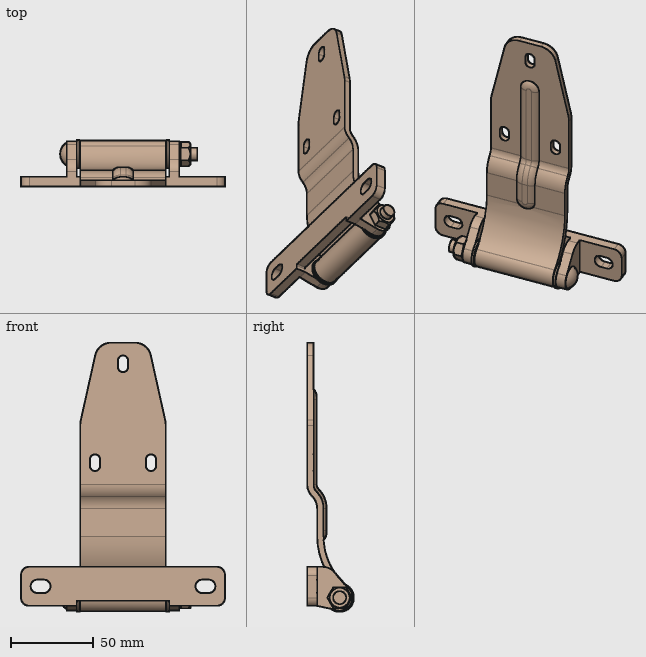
import cadquery as cq
import math


plate_length = 124.0
plate_height = 23.9
plate_thickness = 6.0
plate_bottom = 3.6
plate_top = plate_bottom + plate_height
plate_middle = plate_bottom + plate_height / 2
plate_corner_radius = 5.0
plate_slot_length = 12.0
plate_slot_width = 8.0
plate_slot_spacing = 100.0

axis_y = 19.8
axis_z = 8.7
pin_radius = 4.0
barrel_radius = 8.3
ear_radius = 7.8
washer_radius = 8.7
washer_thickness = 2.0
washer_rim_chamfer = 0.5

strap_width = 52.0
strap_thickness = 4.0
strap_top = 163.5
strap_end_width = 30.4
strap_end_radius = 10.0
taper_bottom = 115.0
taper_blend_radius = 15.0
crank_top = 77.5
crank_depth = plate_thickness
crank_angle = math.radians(45)
tail_radius = 39.2

strap_slot_length = 10.0
strap_slot_width = 6.0
upper_slot_z = 150.6
lower_slot_z = 90.5
lower_slot_spacing = 34.0

rib_height = 2.0
rib_radius = strap_thickness + rib_height
rib_crest = 3.5
rib_top_z = 129.2
rib_bottom_z = 49.7

barrel_end = strap_width / 2
ear_inner = barrel_end + washer_thickness
ear_thickness = 6.2
ear_outer = ear_inner + ear_thickness
ear_corner_y = 13.7
ear_corner_radius = 10.0

notch_top = 6.7
notch_corner_radius = 0.7

head_radius = 7.0
head_height = 4.1
pin_tip = 45.1
nut_gap = 1.0
nut_start = ear_outer + nut_gap
nut_height = 6.0
nut_across_flats = 12.9
nut_face_radius = 6.0

crank_radius = crank_depth / (2 * (1 - math.cos(crank_angle)))
crank_bottom = crank_top - 2 * crank_radius * math.sin(crank_angle)

tail_center_y = crank_depth + strap_thickness + tail_radius
tail_reach = tail_radius + barrel_radius
tail_center_z = axis_z + math.sqrt(tail_reach**2 - (tail_center_y - axis_y) ** 2)
tail_angle = math.atan2(tail_center_z - axis_z, tail_center_y - axis_y)

rib_half_crest = rib_crest / 2
rib_root = strap_thickness / 2
rib_half_root = rib_half_crest + math.sqrt(rib_radius**2 - rib_root**2)
rib_bulge = rib_radius * math.sqrt(0.5)


def rod(radius, start, end):
    """Cylinder on the pin axis between two X positions."""
    return cq.Workplane("YZ", origin=(start, axis_y, axis_z)).circle(radius).extrude(end - start)


def slot_cutter(x, z, length, width, angle, depth):
    """Slot-shaped body that starts at Y = 0 and runs back by depth."""
    return cq.Workplane("XZ", origin=(x, 0, z)).slot2D(length, width, angle).extrude(-depth)


def point_on_arc(center, radius, angle):
    """Point below and in front of an arc center, at an angle from the -Y direction."""
    return (center[0] - radius * math.cos(angle), center[1] - radius * math.sin(angle))


def on_lower_bend(radius, angle):
    """Point on the lower crank bend, at an angle above its lower end."""
    center_y = crank_depth - crank_radius
    return (center_y + radius * math.cos(angle), crank_bottom + radius * math.sin(angle))


def ear_tangent_point(corner, turn):
    """Point where the line from a corner touches the ear's round end."""
    y_step = corner[0] - axis_y
    z_step = corner[1] - axis_z
    direction = math.atan2(z_step, y_step) + turn * math.acos(ear_radius / math.hypot(y_step, z_step))
    return (axis_y + ear_radius * math.cos(direction), axis_z + ear_radius * math.sin(direction))


def make_ear(start):
    """Ear that rises from the front of the plate and rounds off about the pin axis."""
    upper_corner = (ear_corner_y, plate_top)
    lower_corner = (plate_thickness, plate_bottom)
    ear = (
        cq.Workplane("YZ", origin=(start, 0, 0))
        .moveTo(0, plate_bottom)
        .lineTo(*lower_corner)
        .lineTo(*ear_tangent_point(lower_corner, 1))
        .threePointArc((axis_y + ear_radius, axis_z), ear_tangent_point(upper_corner, -1))
        .lineTo(*upper_corner)
        .lineTo(0, plate_top)
        .close()
        .extrude(ear_thickness)
    )
    corner_edge = cq.selectors.NearestToPointSelector((start + ear_thickness / 2, *upper_corner))
    return ear.edges("|X").edges(corner_edge).fillet(ear_corner_radius)


def make_base():
    """Plate with end slots, two bored ears and the clearance notch."""
    base = (
        cq.Workplane("XY", origin=(0, plate_thickness / 2, plate_middle))
        .box(plate_length, plate_thickness, plate_height)
        .edges("|Y")
        .fillet(plate_corner_radius)
    )
    for start in (-ear_outer, ear_inner):
        base = base.union(make_ear(start))
    for side in (-1, 1):
        slot_x = side * plate_slot_spacing / 2
        base = base.cut(
            slot_cutter(slot_x, plate_middle, plate_slot_length, plate_slot_width, 0, plate_thickness)
        )
    notch_height = 2 * (notch_top - plate_bottom)
    notch = (
        cq.Workplane("XY", origin=(0, plate_thickness / 2, plate_bottom))
        .box(2 * ear_inner, plate_thickness, notch_height)
        .edges("|Y")
        .fillet(notch_corner_radius)
    )
    return base.cut(notch).cut(rod(pin_radius, -ear_outer, ear_outer))


def make_strap_sheet():
    """Bent sheet: flat top, crank, short flat and the tail arc down to the barrel."""
    upper_center = (crank_radius, crank_top)
    lower_back_radius = crank_radius + strap_thickness
    upper_back_radius = crank_radius - strap_thickness
    half_turn = crank_angle / 2

    tail_center = (tail_center_y, tail_center_z)
    tail_front_radius = tail_radius + strap_thickness
    back = crank_depth + strap_thickness
    return (
        cq.Workplane("YZ", origin=(-strap_width / 2, 0, 0))
        .moveTo(0, strap_top)
        .lineTo(0, crank_top)
        .threePointArc(
            point_on_arc(upper_center, crank_radius, half_turn),
            point_on_arc(upper_center, crank_radius, crank_angle),
        )
        .threePointArc(on_lower_bend(crank_radius, half_turn), (crank_depth, crank_bottom))
        .lineTo(crank_depth, tail_center_z)
        .threePointArc(
            point_on_arc(tail_center, tail_front_radius, tail_angle / 2),
            point_on_arc(tail_center, tail_front_radius, tail_angle),
        )
        .lineTo(*point_on_arc(tail_center, tail_radius, tail_angle))
        .threePointArc(point_on_arc(tail_center, tail_radius, tail_angle / 2), (back, tail_center_z))
        .lineTo(back, crank_bottom)
        .threePointArc(
            on_lower_bend(lower_back_radius, half_turn), on_lower_bend(lower_back_radius, crank_angle)
        )
        .threePointArc(
            point_on_arc(upper_center, upper_back_radius, half_turn), (strap_thickness, crank_top)
        )
        .lineTo(strap_thickness, strap_top)
        .close()
        .extrude(strap_width)
    )


def make_strap_outline():
    """Front outline of the strap as a thick block: tapered, with a rounded top end."""
    half_width = strap_width / 2
    half_end = strap_end_width / 2
    block_depth = axis_y + barrel_radius
    block = (
        cq.Workplane("XZ")
        .moveTo(-half_width, 0)
        .lineTo(half_width, 0)
        .lineTo(half_width, taper_bottom)
        .lineTo(half_end, strap_top)
        .lineTo(-half_end, strap_top)
        .lineTo(-half_width, taper_bottom)
        .close()
        .extrude(-block_depth)
    )
    for side in (-1, 1):
        for x, z, radius in (
            (half_end, strap_top, strap_end_radius),
            (half_width, taper_bottom, taper_blend_radius),
        ):
            corner_edge = cq.selectors.NearestToPointSelector((side * x, block_depth / 2, z))
            block = block.edges("|Y").edges(corner_edge).fillet(radius)
    return block


def make_rib_end(front_y, z):
    """Round end of the rib: half of its section turned about a line along Y."""
    return (
        cq.Workplane("XY", origin=(0, front_y, z))
        .moveTo(0, rib_root)
        .lineTo(rib_half_root, rib_root)
        .threePointArc((rib_half_crest + rib_bulge, rib_bulge), (rib_half_crest, rib_radius))
        .lineTo(0, rib_radius)
        .close()
        .revolve(360, (0, 0, 0), (0, 1, 0))
    )


def make_rib():
    """Rounded rib that follows the strap through the crank, rooted inside the sheet."""
    upper_center = (crank_radius, crank_top)
    path = (
        cq.Workplane("YZ")
        .moveTo(0, rib_top_z)
        .lineTo(0, crank_top)
        .threePointArc(
            point_on_arc(upper_center, crank_radius, crank_angle / 2),
            point_on_arc(upper_center, crank_radius, crank_angle),
        )
        .threePointArc(on_lower_bend(crank_radius, crank_angle / 2), (crank_depth, crank_bottom))
        .lineTo(crank_depth, rib_bottom_z)
    )
    rib = (
        cq.Workplane("XY", origin=(0, 0, rib_top_z))
        .moveTo(-rib_half_root, rib_root)
        .lineTo(rib_half_root, rib_root)
        .threePointArc((rib_half_crest + rib_bulge, rib_bulge), (rib_half_crest, rib_radius))
        .lineTo(-rib_half_crest, rib_radius)
        .threePointArc((-rib_half_crest - rib_bulge, rib_bulge), (-rib_half_root, rib_root))
        .close()
        .sweep(path)
    )
    return rib.union(make_rib_end(0, rib_top_z)).union(make_rib_end(crank_depth, rib_bottom_z))


def make_strap():
    """Strap with its rib, rolled barrel, pin bore and three slots."""
    strap = make_strap_sheet().intersect(make_strap_outline())
    strap = strap.union(make_rib())
    strap = strap.union(rod(barrel_radius, -barrel_end, barrel_end))
    strap = strap.cut(rod(pin_radius, -barrel_end, barrel_end))
    lower_slot_x = lower_slot_spacing / 2
    for x, z in ((0, upper_slot_z), (-lower_slot_x, lower_slot_z), (lower_slot_x, lower_slot_z)):
        strap = strap.cut(slot_cutter(x, z, strap_slot_length, strap_slot_width, 90, strap_thickness))
    return strap


def make_washer(side):
    """Washer between the barrel and one ear, chamfered on the rim next to the barrel."""
    washer = rod(washer_radius, barrel_end, ear_inner).faces("<X").chamfer(washer_rim_chamfer)
    washer = washer.cut(rod(pin_radius, barrel_end, ear_inner))
    return washer if side > 0 else washer.mirror("YZ")


def make_pin():
    """Round pin with a domed head outside the left ear."""
    dome_radius = (head_radius**2 + head_height**2) / (2 * head_height)
    half_angle = math.asin(head_radius / dome_radius) / 2
    dome_middle = (
        dome_radius * (1 - math.cos(half_angle)) - head_height,
        dome_radius * math.sin(half_angle),
    )
    head = (
        cq.Workplane("XY", origin=(-ear_outer, axis_y, axis_z))
        .moveTo(-head_height, 0)
        .threePointArc(dome_middle, (0, head_radius))
        .lineTo(0, 0)
        .close()
        .revolve(360, (0, 0, 0), (1, 0, 0))
    )
    return head.union(rod(pin_radius, -ear_outer, pin_tip))


def make_nut():
    """Hexagon nut with corners along Y and a conical chamfer on its outer face."""
    across_corners = nut_across_flats / math.cos(math.pi / 6)
    chamfer = across_corners / 2 - nut_face_radius
    envelope = rod(across_corners / 2, nut_start, nut_start + nut_height).faces(">X").chamfer(chamfer)
    hexagon = (
        cq.Workplane("YZ", origin=(nut_start, axis_y, axis_z))
        .polygon(6, across_corners)
        .extrude(nut_height)
    )
    return hexagon.intersect(envelope).cut(rod(pin_radius, nut_start, nut_start + nut_height))


base = make_base()
strap = make_strap()
pin = make_pin()
nut = make_nut()
washers = [make_washer(side) for side in (-1, 1)]

result = cq.Compound.makeCompound(
    [base.val(), strap.val(), pin.val(), nut.val(), *[washer.val() for washer in washers]]
)